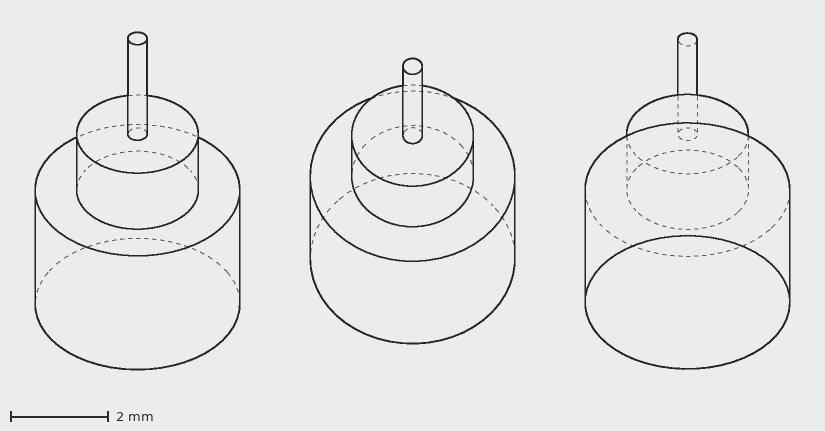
import cadquery as cq

total_height = 7.1
body_diameter = 4.2
body_height = 3.045
neck_diameter = 2.5
neck_height = 1.5
pin_diameter = 0.4

neck_top = body_height + neck_height
pin_length = total_height - neck_top


def upright_cylinder(diameter, height, base_z):
    """Solid cylinder on the Z axis, rising from base_z."""
    return cq.Workplane("XY").workplane(offset=base_z).circle(diameter / 2).extrude(height)


body = upright_cylinder(body_diameter, body_height, 0)
neck = upright_cylinder(neck_diameter, neck_height, body_height)
pin = upright_cylinder(pin_diameter, pin_length, neck_top)

result = body.union(neck).union(pin)